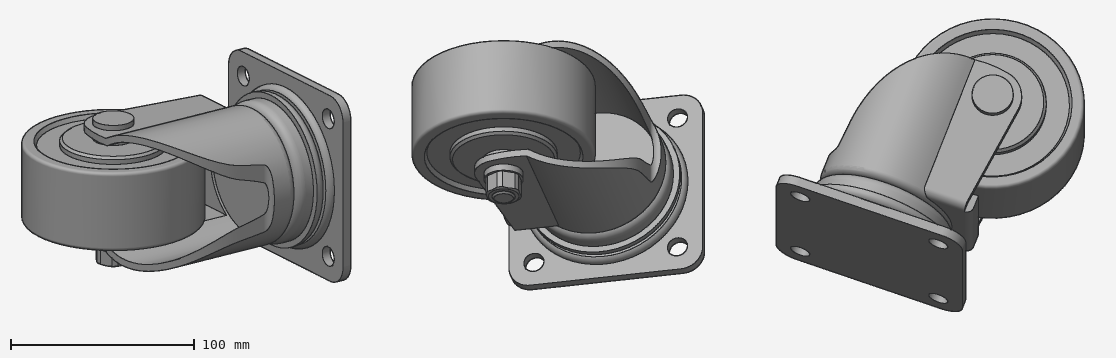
import cadquery as cq
import math


overall_length = 144.0

plate_side = 108.0
plate_thickness = 5.3
plate_corner_radius = 12.0
bolt_hole_diameter = 11.1
bolt_hole_spacing = 80.0

raceway_radius = 46.0
raceway_end = 9.2
raceway_rounding = 4.2
dust_cover_radius = 43.5
dust_cover_end = 15.1
dust_cover_rounding = 3.9
drum_radius = 40.0
drum_end = 25.3
drum_rounding = 5.0

sheet = 4.0
fork_back_radius = 38.9
arm_outer_half_width = 33.0
web_depth = 27.0
bend_radius = 4.3
dish_rounding = sheet
web_front_x = -45.2
lip_half_width = 28.5
lip_end = 38.2
lip_rounding = 3.9
arm_end_radius = 15.8
back_curve_center = (-27.0, -51.7)
back_taper_angle = 6.0
skirt_end = 40.3
notch_fillet = 3.6

axle_x = -37.0
wheel_radius = 50.0
axle_depth = overall_length - wheel_radius
wheel_half_width = 22.8
wheel_edge_rounding = 1.9
recess_rim_radius = 43.2
recess_floor_radius = 41.8
recess_depth = 2.6
recess_wall_bevel = 2.5
hub_radius = 29.2
hub_half_width = 24.3
hub_chamfer = 1.5

spacer_radius = 11.2
head_radius = 11.2
head_top = 36.0
washer_radius = 10.7
washer_bottom = 36.9
nut_across_flats = 18.3
nut_corner_radius = 9.8
nut_bottom = 47.2
nut_chamfer_height = 0.7
nut_chamfer_width = 1.5
bolt_tip_radius = 6.3
bolt_tip_chamfer = 1.0
bolt_tip_bottom = 48.5


def disc_below(radius, start, end):
    """Disc about the swivel axis, between two depths below the mounting face."""
    return cq.Workplane("XZ", origin=(0, -start, 0)).circle(radius).extrude(end - start)


def axle_disc(radius, z_low, z_high):
    """Disc about the wheel axle, between two heights."""
    plane = cq.Workplane("XY", origin=(axle_x, -axle_depth, z_low))
    return plane.circle(radius).extrude(z_high - z_low)


def mounting_plate():
    plate = cq.Workplane("XZ").rect(plate_side, plate_side).extrude(plate_thickness)
    plate = plate.edges("|Y").fillet(plate_corner_radius)
    holes = (
        cq.Workplane("XZ")
        .rect(bolt_hole_spacing, bolt_hole_spacing, forConstruction=True)
        .vertices()
        .circle(bolt_hole_diameter / 2)
        .extrude(plate_thickness)
    )
    return plate.cut(holes)


def swivel_bearing():
    raceway_height = raceway_end - plate_thickness
    inward = raceway_rounding - math.sqrt(raceway_rounding**2 - raceway_height**2)
    raceway = (
        cq.Workplane("XY")
        .moveTo(0, -plate_thickness)
        .lineTo(raceway_radius, -plate_thickness)
        .radiusArc((raceway_radius - inward, -raceway_end), raceway_rounding)
        .lineTo(0, -raceway_end)
        .close()
        .revolve(360, (0, 0, 0), (0, 1, 0))
    )
    cover = disc_below(dust_cover_radius, raceway_end, dust_cover_end)
    cover = cover.faces(">Y").edges().fillet(dust_cover_rounding)
    drum = disc_below(drum_radius, dust_cover_end, drum_end)
    drum = drum.faces("<Y").edges().fillet(drum_rounding)
    return raceway.union(cover).union(drum)


def fork_shell(back_radius, half_width, start, end):
    """Half-round back with two flat sides running toward -X."""
    front_x = axle_x - 2 * arm_end_radius
    tangent_x = -math.sqrt(back_radius**2 - half_width**2)
    return (
        cq.Workplane("XZ", origin=(0, -start, 0))
        .moveTo(front_x, half_width)
        .lineTo(tangent_x, half_width)
        .threePointArc((back_radius, 0), (tangent_x, -half_width))
        .lineTo(front_x, -half_width)
        .close()
        .extrude(end - start)
    )


def fork_side_outline(end):
    """Solid with the side outline of the fork, extruded across its whole width."""
    axle_y = -axle_depth
    back_x, back_y = back_curve_center
    center_distance = math.hypot(axle_x - back_x, axle_y - back_y)
    back_radius = center_distance + arm_end_radius

    to_corner_x = web_front_x - axle_x
    to_corner_y = -web_depth - bend_radius - axle_y
    corner_distance = math.hypot(to_corner_x, to_corner_y)
    corner_angle = math.atan2(to_corner_y, to_corner_x)
    front_angle = corner_angle + math.acos(arm_end_radius / corner_distance)

    join_angle = math.atan2(axle_y - back_y, axle_x - back_x) + 2 * math.pi
    taper_angle = 2 * math.pi - math.radians(back_taper_angle)

    def axle_arc(angle):
        return (axle_x + arm_end_radius * math.cos(angle), axle_y + arm_end_radius * math.sin(angle))

    def back_arc(angle):
        return (back_x + back_radius * math.cos(angle), back_y + back_radius * math.sin(angle))

    taper_start = back_arc(taper_angle)
    rise = -skirt_end - taper_start[1]
    notch_x = taper_start[0] + rise * math.tan(math.radians(back_taper_angle))

    outline = (
        cq.Workplane("XY", origin=(0, 0, -fork_back_radius))
        .moveTo(fork_back_radius, -web_depth)
        .lineTo(web_front_x, -web_depth)
        .lineTo(web_front_x, -web_depth - bend_radius)
        .lineTo(*axle_arc(front_angle))
        .threePointArc(axle_arc((front_angle + join_angle) / 2), axle_arc(join_angle))
        .threePointArc(back_arc((join_angle + taper_angle) / 2), taper_start)
        .lineTo(notch_x, -skirt_end)
        .lineTo(fork_back_radius, -skirt_end)
        .close()
        .extrude(2 * fork_back_radius)
    )
    notch_corner = cq.selectors.NearestToPointSelector((notch_x, -skirt_end, 0))
    return outline.edges("|Z").edges(notch_corner).fillet(notch_fillet)


def fork():
    bottom = axle_depth + 2 * arm_end_radius
    outer = fork_shell(fork_back_radius, arm_outer_half_width, web_depth, bottom)
    outer = outer.faces(">Y").edges("not <X").fillet(bend_radius)
    body = outer.intersect(fork_side_outline(bottom))

    seat = disc_below(fork_back_radius, drum_end, web_depth + bend_radius)
    seat = seat.faces(">Y").edges().fillet(dish_rounding)
    body = body.union(seat)

    inner_radius = fork_back_radius - sheet
    inner_half_width = arm_outer_half_width - sheet
    space = fork_shell(inner_radius, inner_half_width, web_depth + sheet, bottom)
    dish = disc_below(inner_radius, drum_end + sheet, web_depth + sheet)
    return body.cut(space).cut(dish).union(front_lip())


def front_lip():
    lip = cq.Workplane("XY").box(
        sheet, lip_end - web_depth, 2 * lip_half_width, centered=(False, False, True)
    )
    lip = lip.translate((web_front_x - sheet, -lip_end, 0))
    return lip.edges("<X and >Y").fillet(lip_rounding)


def wheel():
    tyre = axle_disc(wheel_radius, -wheel_half_width, wheel_half_width)
    tyre = tyre.faces("|Z").edges().fillet(wheel_edge_rounding)
    recess = (
        axle_disc(recess_rim_radius, wheel_half_width - recess_depth, wheel_half_width)
        .faces("<Z")
        .edges()
        .chamfer(recess_wall_bevel, recess_rim_radius - recess_floor_radius)
    )
    tyre = tyre.cut(recess).cut(recess.mirror("XY"))
    hub = axle_disc(hub_radius, -hub_half_width, hub_half_width)
    return tyre.union(hub.faces("|Z").edges().chamfer(hub_chamfer))


def axle():
    arm_inner = arm_outer_half_width - sheet
    spacers = axle_disc(spacer_radius, -arm_inner, arm_inner)
    head = axle_disc(head_radius, arm_inner, head_top)
    washer = axle_disc(washer_radius, -washer_bottom, -arm_inner)
    hexagon = (
        cq.Workplane("XY", origin=(axle_x, -axle_depth, -nut_bottom))
        .polygon(6, nut_across_flats, circumscribed=True)
        .extrude(nut_bottom - washer_bottom)
    )
    rounded_corners = axle_disc(nut_corner_radius, -nut_bottom, -washer_bottom)
    rounded_corners = rounded_corners.faces("<Z").edges().chamfer(nut_chamfer_height, nut_chamfer_width)
    nut = hexagon.intersect(rounded_corners)
    tip = axle_disc(bolt_tip_radius, -bolt_tip_bottom, -washer_bottom)
    tip = tip.faces("<Z").edges().chamfer(bolt_tip_chamfer)
    return spacers.union(head).union(washer).union(nut).union(tip)


result = mounting_plate().union(swivel_bearing()).union(fork()).union(wheel()).union(axle())